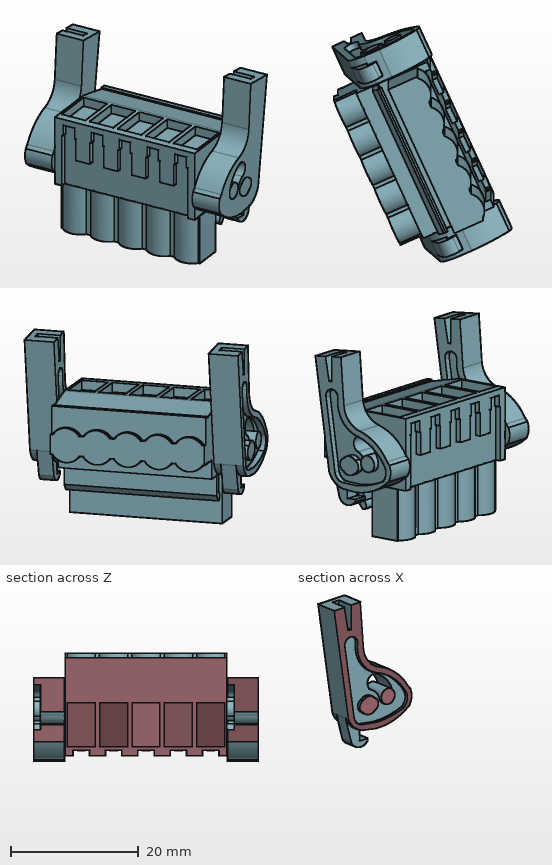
import cadquery as cq
import math


overall_width = 35.1
pole_count = 5

housing_width = 25.27
housing_height = 11.62
roof_depth = 8.88
slope_end_height = 10.35
ledge_front = 14.5
ledge_height = 10.6
rear_face = 15.35
entry_face = 16.05
entry_top = 6.2
entry_bottom = 3.02
foot_back = 12.15

entry_scallop_width = 4.42
entry_scallop_rise = 1.15
stem_block_width = 25.05
stem_front = 1.75
stem_back = 6.7
stem_length = 8.4
stem_scallop_width = 4.3
stem_scallop_rise = 1.0

pocket_width = 4.28
pocket_front = 1.45
pocket_length = 6.8
pocket_depth = 1.5
clamp_height = 2.8

recess_depth = 0.85
comb_base_top = 5.02
finger_width = 2.53
finger_shoulder = 8.75
fingertip_width = 2.07
fingertip_top = 10.6

lever_top = 21.13
lever_width = 4.85
lever_recess_depth = 1.05
slit_depth = 3.72
hook_inset = 1.23
hook_width = 2.5

pivot_y = 7.35
pivot_z = 3.9
lobe_corner_y = 1.15
lobe_corner_z = 1.02
lobe_half_length = 1.83
lobe_half_height = 1.55
stop_radius = 1.35
stop_distance = 3.72
stop_angle = 167.0
slot_sweep = 55.0

pole_pitch = housing_width / pole_count
pole_positions = [(i - (pole_count - 1) / 2) * pole_pitch for i in range(pole_count)]
clamp_floor = housing_height - pocket_depth - clamp_height
pin_length = (overall_width - housing_width) / 2
lever_left_faces = [-overall_width / 2, overall_width / 2 - lever_width]


def box(x_min, x_max, y_min, y_max, z_min, z_max):
    """Axis-aligned box between the given limits."""
    size = (x_max - x_min, y_max - y_min, z_max - z_min)
    return cq.Workplane("XY").box(*size, centered=False).translate((x_min, y_min, z_min))


def centred_box(x_centre, width, y_min, y_max, z_min, z_max):
    """Box of the given width, centred on x_centre."""
    return box(x_centre - width / 2, x_centre + width / 2, y_min, y_max, z_min, z_max)


def side_plane(x):
    """YZ plane at the given X; extrusions from it go toward +X."""
    return cq.Workplane("YZ", origin=(x, 0, 0))


def around_pivot(distance, angle):
    """Point (y, z) at a distance and direction from the pivot axis."""
    direction = math.radians(angle)
    return (pivot_y + distance * math.cos(direction), pivot_z + distance * math.sin(direction))



def pivot_boss(x, length):
    """Pivot boss with four rounded lobes."""
    left, right = pivot_y - lobe_corner_y, pivot_y + lobe_corner_y
    low, high = pivot_z - lobe_corner_z, pivot_z + lobe_corner_z
    return (
        side_plane(x)
        .moveTo(left, high)
        .threePointArc((pivot_y, pivot_z + lobe_half_height), (right, high))
        .threePointArc((pivot_y + lobe_half_length, pivot_z), (right, low))
        .threePointArc((pivot_y, pivot_z - lobe_half_height), (left, low))
        .threePointArc((pivot_y - lobe_half_length, pivot_z), (left, high))
        .close()
        .extrude(length)
    )


def stop_pin(x, length):
    """Round pin that limits the lever's swing."""
    return side_plane(x).center(*around_pivot(stop_distance, stop_angle)).circle(stop_radius).extrude(length)


def stop_slot(x, length):
    """Arc-shaped slot around the pivot, with the stop pin filling one end."""
    start = stop_angle
    middle = stop_angle - slot_sweep / 2
    end = stop_angle - slot_sweep
    inner = stop_distance - stop_radius
    outer = stop_distance + stop_radius
    band = (
        side_plane(x)
        .moveTo(*around_pivot(inner, start))
        .threePointArc(around_pivot(inner, middle), around_pivot(inner, end))
        .lineTo(*around_pivot(outer, end))
        .threePointArc(around_pivot(outer, middle), around_pivot(outer, start))
        .close()
        .extrude(length)
    )
    far_end = side_plane(x).center(*around_pivot(stop_distance, end)).circle(stop_radius).extrude(length)
    return band.union(stop_pin(x, length)).union(far_end)



def housing_shell():
    """Main housing with its sloping roof, rear ledge and stepped foot."""
    return (
        side_plane(-housing_width / 2)
        .polyline([
            (0, 0),
            (0, housing_height),
            (roof_depth, housing_height),
            (ledge_front, slope_end_height),
            (ledge_front, ledge_height),
            (rear_face, ledge_height),
            (rear_face, entry_top),
            (entry_face, entry_top),
            (entry_face, entry_bottom),
            (foot_back, entry_bottom),
            (foot_back, 0),
        ])
        .close()
        .extrude(housing_width)
    )


def scallop(plane, x, base, width, rise, length):
    """Shallow rounded rib on a plane whose first axis is X; a negative rise bulges the other way."""
    return (
        plane
        .moveTo(x - width / 2, base)
        .threePointArc((x, base + rise), (x + width / 2, base))
        .close()
        .extrude(length)
    )


def wire_entries():
    """Rounded tops and bottoms of the wire entries at the rear."""
    ribs = cq.Workplane("XY")
    entry_plane = cq.Workplane("XZ", origin=(0, entry_face, 0))
    for x in pole_positions:
        top = scallop(entry_plane, x, entry_top, entry_scallop_width,
                      entry_scallop_rise, entry_face - rear_face)
        bottom = scallop(entry_plane, x, entry_bottom, entry_scallop_width,
                         -entry_scallop_rise, entry_face - foot_back)
        ribs = ribs.add(top).add(bottom)
    return ribs.combine()


def plug_stems():
    """Block below the housing with one rounded stem per pole on its front."""
    stems = centred_box(0, stem_block_width, stem_front, stem_back, -stem_length, 0)
    stem_plane = cq.Workplane("XY", origin=(0, 0, -stem_length))
    for x in pole_positions:
        stems = stems.union(scallop(stem_plane, x, stem_front, stem_scallop_width,
                                    -stem_scallop_rise, stem_length))
    return stems


def snap_rib():
    """Barbed rib below the housing, behind the plug stems."""
    return (
        side_plane(-stem_block_width / 2)
        .moveTo(8.4, 0)
        .lineTo(8.4, -2.9)
        .threePointArc((7.9, -3.55), (8.2, -4.28))
        .lineTo(8.55, -4.3)
        .lineTo(9.4, -3.3)
        .lineTo(9.4, 0)
        .close()
        .extrude(stem_block_width)
    )


def comb_recess():
    """Front recess: a plain base, open at the bottom, with a stepped finger per pole."""
    base_width = (pole_count - 1) * pole_pitch + finger_width
    recess = centred_box(0, base_width, 0, recess_depth, 0, comb_base_top)
    for x in pole_positions:
        finger = centred_box(x, finger_width, 0, recess_depth, comb_base_top, finger_shoulder)
        fingertip = centred_box(x, fingertip_width, 0, recess_depth, finger_shoulder, fingertip_top)
        recess = recess.union(finger).union(fingertip)
    return recess


def pole_block(x, z_min, z_max):
    """Block with the plan shape of a clamp pocket."""
    return centred_box(x, pocket_width, pocket_front, pocket_front + pocket_length, z_min, z_max)


def make_housing():
    body = housing_shell().union(wire_entries()).union(plug_stems()).union(snap_rib())
    body = body.cut(comb_recess())
    for x in pole_positions:
        body = body.cut(pole_block(x, clamp_floor, housing_height))
    for x in (-overall_width / 2, housing_width / 2):
        body = body.union(pivot_boss(x, pin_length)).union(stop_pin(x, pin_length))
    return body



def make_clamp(x):
    """Clamp block seated at the bottom of its pocket."""
    return pole_block(x, clamp_floor, clamp_floor + clamp_height)



def lever_plate(x):
    """Lever outline: a straight grip above a rounded, swept foot."""
    return (
        side_plane(x)
        .moveTo(14.08, 20.57)
        .lineTo(9.0, lever_top)
        .lineTo(8.4, 13.45)
        .threePointArc((7.7, 11.48), (5.3, 9.83))
        .threePointArc((2.77, 8.75), (-0.15, 5.75))
        .lineTo(-0.63, 5.2)
        .threePointArc((-0.88, 4.0), (-0.42, 2.5))
        .threePointArc((2.9, 0.45), (6.0, -0.18))
        .lineTo(8.65, 0)
        .threePointArc((10.32, 0.85), (11.35, 2.3))
        .close()
        .extrude(lever_width)
    )


def lever_recess(x):
    """Shallow recess that follows the lever outline inside a raised rim."""
    return (
        side_plane(x)
        .moveTo(11.95, 14.32)
        .lineTo(10.18, 2.45)
        .threePointArc((9.8, 1.6), (8.85, 1.02))
        .lineTo(6.0, 0.9)
        .threePointArc((3.23, 1.4), (0.77, 2.35))
        .threePointArc((0.07, 3.8), (0.3, 4.85))
        .threePointArc((2.53, 7.35), (5.55, 8.85))
        .threePointArc((8.7, 10.9), (9.6, 14.18))
        .threePointArc((10.78, 15.7), (11.95, 14.32))
        .close()
        .extrude(lever_recess_depth)
    )


def grip_slit(x):
    """Tapered slit in the top of the grip, open on the left."""
    slit_outline = [(12.1, lever_top), (11.35, 16.92), (10.85, 16.92), (10.85, lever_top)]
    return side_plane(x).polyline(slit_outline).close().extrude(slit_depth)


def lever_hook(x):
    """Latching hook below the lever."""
    return (
        side_plane(x + hook_inset)
        .moveTo(11.35, 2.3)
        .lineTo(10.25, -1.85)
        .threePointArc((9.23, -2.8), (7.7, -2.67))
        .lineTo(7.05, -2.1)
        .lineTo(7.05, -1.72)
        .lineTo(8.67, -1.85)
        .lineTo(8.67, 0.3)
        .close()
        .extrude(hook_width)
    )


def make_lever(x):
    """Lever whose left face lies at x."""
    lever = lever_plate(x).union(lever_hook(x))
    lever = lever.cut(lever_recess(x)).cut(grip_slit(x))
    return lever.cut(pivot_boss(x, lever_width)).cut(stop_slot(x, lever_width))


housing = make_housing()
clamps = [make_clamp(x) for x in pole_positions]
levers = [make_lever(x) for x in lever_left_faces]

result = cq.Compound.makeCompound([
    housing.val(),
    *[clamp.val() for clamp in clamps],
    *[lever.val() for lever in levers],
])